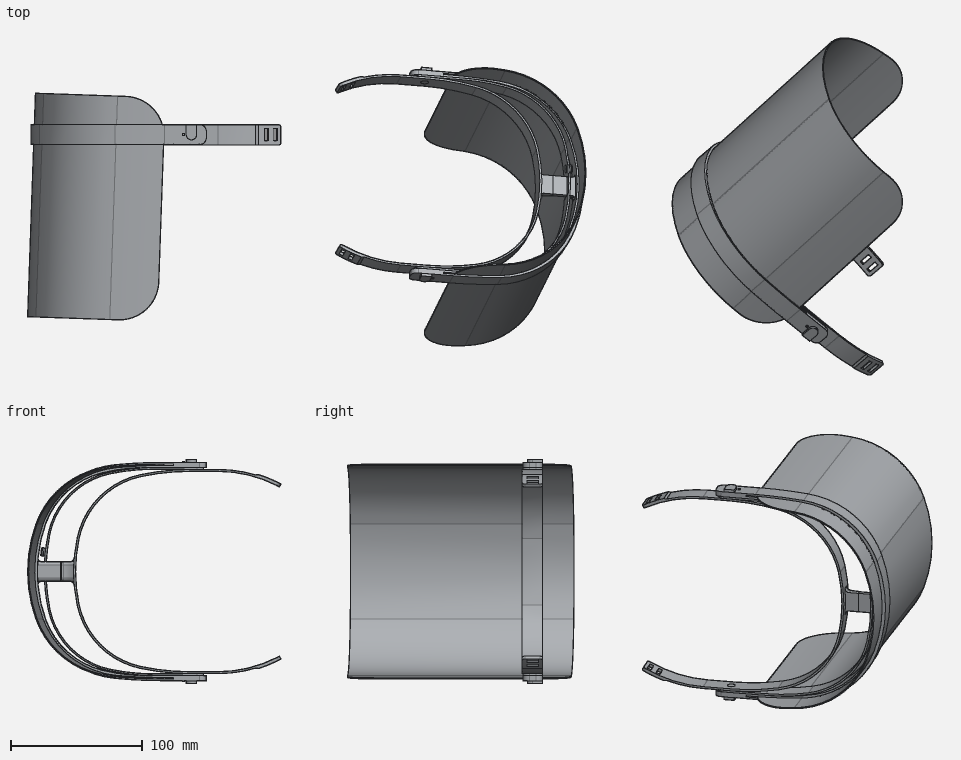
import cadquery as cq
import math

BAND_HEIGHT = 15.0
BAND_TOP = BAND_HEIGHT / 2

SHELL_ANGLES = (math.radians(20), math.radians(84.5))
FRAME_INNER_ANGLES = (math.radians(20), math.radians(76))
BAND_ANGLES = (math.radians(12), math.radians(78))

VISOR_TILT = 2.0
VISOR_HEIGHT = 170.0
VISOR_DEPTH = 98.8
VISOR_CORNER_RADIUS = 30.0
VISOR_THICKNESS = 0.9
VISOR_TOP_Y = 31.5
VISOR_BOW = (0, 81.6, 106.0, 66.5, SHELL_ANGLES)
VISOR_FRONT_X = VISOR_HEIGHT * math.sin(math.radians(VISOR_TILT))

FRAME_OUTER_BOW = (2.5, 83.0, 107.5, 68.0, SHELL_ANGLES)
FRAME_INNER_BOW = (7.5, 79.0, 106.6, 61.0, FRAME_INNER_ANGLES)
FRAME_END_X = 135.8
FRAME_END_RADIUS = 5.0
FRAME_SLOT_END_X = 112.0
FRAME_OUTER_Z = FRAME_OUTER_BOW[1]

MIDDLE_THICKNESS = 1.4
MIDDLE_BOW = (12.7, FRAME_INNER_BOW[1], 140.0, 60.2, BAND_ANGLES)
MIDDLE_END_X = 133.7

HEADBAND_THICKNESS = 1.6
HEADBAND_HEIGHT = 15.5
HEADBAND_BOW = (35.0, MIDDLE_BOW[1] - MIDDLE_THICKNESS, 123.0, 62.4, BAND_ANGLES)
HEADBAND_OUTER_Z = HEADBAND_BOW[1]
HEADBAND_INNER_Z = HEADBAND_OUTER_Z - HEADBAND_THICKNESS
HEADBAND_BOTTOM = BAND_TOP - HEADBAND_HEIGHT
HEADBAND_STRAIGHT_END_X = 144.7
REAR_CURVE_RADIUS = 100.0
STRAP_TAB_EXTRA = 0.9
STRAP_TAB_TIP_X = 192.52
STRAP_RAMP_START_X = 173.2
STRAP_RAMP_END_X = 175.4
STRAP_TAB_CORNER_RADIUS = 2.0
STRAP_SLOT_WIDTH = 3.0
STRAP_SLOT_HEIGHT = 9.0
STRAP_SLOT_XS = (181.6, 188.6)

PIN_X = 124.5
PIN_DIAMETER = 6.0
PIN_CAP_WIDTH = 8.0
PIN_CAP_TOP_Z = 170.37 / 2
NUB_X = 118.4
NUB_SIZE = 1.6
NUB_RISE = 0.7

BRACKET_WIDTH = 15.0
BRACKET_TOP = 2.0
BRACKET_BOTTOM = -4.0
BRACKET_FRONT_X = 6.6
BRACKET_SPLIT_X = 25.0
BRACKET_STEP_END_X = 25.8
BRACKET_STEP = 0.8
BRACKET_SWEEP_START_X = 27.5
BRACKET_SWEEP_END_Y = HEADBAND_BOTTOM + 0.2
BRACKET_REAR_X = 36.0
BRACKET_EDGE_RADIUS = 2.6
BRACKET_FLARE = 3.0
FLARE_OVERLAP = 0.8

STUD_Z = 14.7
STUD_DIAMETER = 6.0
STUD_COLLAR_DIAMETER = 6.5
STUD_COLLAR_LENGTH = 1.2
STUD_LENGTH = 3.2
STUD_COLLAR_OFFSET = 1.2


def inset(bow, distance):
    """Parallel bow lying the given distance inside another one."""
    front_x, half_width, front_radius, shoulder_radius, angles = bow
    radii = (front_radius - distance, shoulder_radius - distance)
    return (front_x + distance, half_width - distance, *radii, angles)


def bow_arcs(bow):
    """Arc (middle, end) points of the +Z half of a bow, from its front point to its straight side."""
    front_x, half_width, front_radius, shoulder_radius, angles = bow
    front_sine, shoulder_sine = (math.sin(angle) for angle in angles)
    side_radius = (
        half_width - (front_radius - shoulder_radius) * front_sine - shoulder_radius * shoulder_sine
    ) / (1 - shoulder_sine)
    radii = (front_radius, shoulder_radius, side_radius)
    x, z = front_x, 0
    arcs = []
    for radius, start, end in zip(radii, (0, *angles), (*angles, math.pi / 2)):
        center_x = x + radius * math.cos(start)
        center_z = z - radius * math.sin(start)
        middle = (start + end) / 2
        middle_point = (center_x - radius * math.cos(middle), center_z + radius * math.sin(middle))
        x = center_x - radius * math.cos(end)
        z = center_z + radius * math.sin(end)
        arcs.append((middle_point, (x, z)))
    return arcs


def draw_bow(sketch, bow, end_x, side):
    """Continue a sketch along a whole bow, from its straight end on one side (+1 or -1) to the other."""
    arcs = bow_arcs(bow)
    starts = [(bow[0], 0)] + [end for _, end in arcs[:-1]]
    sketch = sketch.lineTo(arcs[-1][1][0], side * bow[1])
    for (middle, _), start in reversed(list(zip(arcs, starts))):
        sketch = sketch.threePointArc((middle[0], side * middle[1]), (start[0], side * start[1]))
    for middle, end in arcs:
        sketch = sketch.threePointArc((middle[0], -side * middle[1]), (end[0], -side * end[1]))
    return sketch.lineTo(end_x, -side * bow[1])


def band(outer, inner, end_x, top, height):
    """Horseshoe band between two bows."""
    sketch = cq.Workplane("XZ", origin=(0, top, 0)).moveTo(end_x, outer[1])
    sketch = draw_bow(sketch, outer, end_x, 1)
    sketch = sketch.lineTo(end_x, -inner[1])
    sketch = draw_bow(sketch, inner, end_x, -1)
    return sketch.close().extrude(height)


def tilt_visor(shape):
    """Move a shape from the visor's own axes (front top edge at the origin) into place."""
    return shape.rotate((0, 0, 0), (0, 0, 1), -VISOR_TILT).translate((VISOR_FRONT_X, VISOR_TOP_Y, 0))


def visor_sheet(depth):
    """Bent sheet in the visor's own axes."""
    return band(VISOR_BOW, inset(VISOR_BOW, VISOR_THICKNESS), depth, 0, VISOR_HEIGHT)


def make_visor():
    side_outline = (
        cq.Workplane("XY")
        .rect(2 * VISOR_DEPTH, VISOR_HEIGHT)
        .extrude(2 * VISOR_BOW[1], both=True)
        .edges("|Z")
        .fillet(VISOR_CORNER_RADIUS)
        .translate((0, -VISOR_HEIGHT / 2, 0))
    )
    sheet = visor_sheet(VISOR_DEPTH + VISOR_CORNER_RADIUS)
    return tilt_visor(sheet.intersect(side_outline))


def across_arms(x, diameter):
    """Round rod parallel to Z running right across both arms."""
    return cq.Workplane("XY", origin=(x, 0, 0)).circle(diameter / 2).extrude(2 * FRAME_OUTER_Z, both=True)


def make_nubs():
    nub = (
        cq.Workplane("XY", origin=(NUB_X, 0, FRAME_OUTER_Z))
        .rect(NUB_SIZE, NUB_SIZE)
        .extrude(NUB_RISE)
    )
    return [nub, nub.mirror("XY")]


def bracket_flares(band_bow, direction):
    """Fillet prisms on both sides that widen the bracket towards a band, in the given X direction."""
    front_x, _, radius, _, _ = band_bow
    half = BRACKET_WIDTH / 2
    x = front_x + half**2 / (2 * radius)
    toe = x - direction * BRACKET_FLARE
    bend = BRACKET_FLARE * (1 - math.sqrt(0.5))
    flare = (
        cq.Workplane("XZ", origin=(0, BRACKET_TOP, 0))
        .moveTo(toe, half)
        .threePointArc((x - direction * bend, half + bend), (x, half + BRACKET_FLARE))
        .lineTo(x + direction * FLARE_OVERLAP, half + BRACKET_FLARE)
        .lineTo(x + direction * FLARE_OVERLAP, half)
        .close()
        .extrude(BRACKET_TOP - BRACKET_BOTTOM)
    )
    return flare.union(flare.mirror("XY"))


def round_lower_edges(block):
    """Round the two lower long edges of a bracket half."""
    for face_side in (">Z", "<Z"):
        lower = block.faces(face_side).edges("not(|Y or >Y)")
        block = lower.fillet(BRACKET_EDGE_RADIUS)
    return block


def make_front_bracket():
    block = (
        cq.Workplane("XY")
        .moveTo(BRACKET_FRONT_X, BRACKET_TOP)
        .lineTo(BRACKET_SPLIT_X, BRACKET_TOP)
        .lineTo(BRACKET_SPLIT_X, BRACKET_BOTTOM)
        .lineTo(BRACKET_FRONT_X, BRACKET_BOTTOM)
        .close()
        .extrude(BRACKET_WIDTH / 2, both=True)
    )
    return round_lower_edges(block).union(bracket_flares(FRAME_INNER_BOW, -1))


def make_rear_bracket():
    step_y = BRACKET_BOTTOM - BRACKET_STEP
    block = (
        cq.Workplane("XY")
        .moveTo(BRACKET_SPLIT_X, BRACKET_TOP)
        .lineTo(BRACKET_SPLIT_X, BRACKET_BOTTOM)
        .lineTo(BRACKET_STEP_END_X, step_y)
        .lineTo(BRACKET_SWEEP_START_X, step_y)
        .tangentArcPoint((BRACKET_REAR_X, BRACKET_SWEEP_END_Y), relative=False)
        .lineTo(BRACKET_REAR_X, BRACKET_TOP)
        .close()
        .extrude(BRACKET_WIDTH / 2, both=True)
    )
    return round_lower_edges(block).union(bracket_flares(HEADBAND_BOW, 1))


def make_frame():
    frame = band(FRAME_OUTER_BOW, FRAME_INNER_BOW, FRAME_END_X, BAND_TOP, BAND_HEIGHT)
    frame = frame.edges("|Z and >X").fillet(FRAME_END_RADIUS)
    frame = frame.union(make_front_bracket())
    slot_depth = FRAME_SLOT_END_X - VISOR_FRONT_X
    frame = frame.cut(tilt_visor(visor_sheet(slot_depth)))
    frame = frame.cut(across_arms(PIN_X, PIN_DIAMETER))
    for nub in make_nubs():
        frame = frame.union(nub)
    return frame


def stud_rod(diameter, start, end):
    """Rod square to the middle band, between two distances in front of its front face."""
    front_x, _, radius, _, _ = MIDDLE_BOW
    sine = STUD_Z / radius
    cosine = math.sqrt(1 - sine**2)
    face = cq.Vector(front_x + radius * (1 - cosine), 0, STUD_Z)
    outward = cq.Vector(-cosine, 0, sine)
    plane = cq.Plane(face + outward * start, xDir=(0, 1, 0), normal=outward)
    return cq.Workplane(plane).circle(diameter / 2).extrude(end - start)


def make_stud():
    stud = stud_rod(STUD_DIAMETER, -MIDDLE_THICKNESS, STUD_LENGTH)
    return stud.union(
        stud_rod(STUD_COLLAR_DIAMETER, STUD_COLLAR_OFFSET, STUD_COLLAR_OFFSET + STUD_COLLAR_LENGTH)
    )


def make_middle_band(stud):
    inner = inset(MIDDLE_BOW, MIDDLE_THICKNESS)
    middle = band(MIDDLE_BOW, inner, MIDDLE_END_X, BAND_TOP, BAND_HEIGHT)
    middle = middle.edges("|Z and >X").fillet(FRAME_END_RADIUS)
    middle = middle.cut(across_arms(PIN_X, PIN_DIAMETER))
    middle_x = MIDDLE_BOW[0]
    notch = (
        cq.Workplane("XZ", origin=(middle_x, BRACKET_TOP, 0))
        .rect(4 * MIDDLE_THICKNESS, BRACKET_WIDTH)
        .extrude(BRACKET_TOP + BAND_TOP)
    )
    return middle.cut(notch).cut(stud)


def rear_sector(start_radius, start_x, outer_radius, outer_start_x, tip_x):
    """Curved strap piece on the +Z arm; its outer face ramps from the start radius to the outer radius."""
    inner_radius = REAR_CURVE_RADIUS - HEADBAND_THICKNESS
    center = (HEADBAND_STRAIGHT_END_X, HEADBAND_OUTER_Z - REAR_CURVE_RADIUS)
    start = math.asin((start_x - center[0]) / start_radius)
    outer_start = math.asin((outer_start_x - center[0]) / outer_radius)
    tip = math.asin((tip_x - center[0]) / outer_radius)
    outer_middle = (outer_start + tip) / 2
    inner_middle = (start + tip) / 2

    def at(radius, angle):
        return (center[0] + radius * math.sin(angle), center[1] + radius * math.cos(angle))

    sketch = (
        cq.Workplane("XZ", origin=(0, BAND_TOP, 0))
        .moveTo(*at(inner_radius, start))
        .lineTo(*at(start_radius, start))
    )
    if outer_start > start:
        sketch = sketch.lineTo(*at(outer_radius, outer_start))
    return (
        sketch.threePointArc(at(outer_radius, outer_middle), at(outer_radius, tip))
        .lineTo(*at(inner_radius, tip))
        .threePointArc(at(inner_radius, inner_middle), at(inner_radius, start))
        .close()
        .extrude(HEADBAND_HEIGHT)
    )


def make_rear_strap():
    """Curved rear end of the +Z arm with its thickened, slotted tab."""
    curve_start_x = HEADBAND_STRAIGHT_END_X
    radius = REAR_CURVE_RADIUS
    tab_radius = radius + STRAP_TAB_EXTRA
    strap = rear_sector(radius, curve_start_x, radius, curve_start_x, STRAP_RAMP_START_X)
    tab = rear_sector(radius, STRAP_RAMP_START_X, tab_radius, STRAP_RAMP_END_X, STRAP_TAB_TIP_X)
    tip_edges = tab.faces(">X").edges("not |Y").edges(">Y or <Y")
    tab = tip_edges.fillet(STRAP_TAB_CORNER_RADIUS)
    strap = strap.union(tab)
    for slot_x in STRAP_SLOT_XS:
        angle = math.asin((slot_x - curve_start_x) / tab_radius)
        drop = tab_radius * (1 - math.cos(angle))
        slot = (
            cq.Workplane("XY")
            .box(STRAP_SLOT_WIDTH, STRAP_SLOT_HEIGHT, 4 * HEADBAND_THICKNESS)
            .rotate((0, 0, 0), (0, 1, 0), math.degrees(angle))
            .translate((slot_x, 0, HEADBAND_OUTER_Z + STRAP_TAB_EXTRA - drop))
        )
        strap = strap.cut(slot)
    return strap


def make_headband():
    inner = inset(HEADBAND_BOW, HEADBAND_THICKNESS)
    headband = band(HEADBAND_BOW, inner, HEADBAND_STRAIGHT_END_X, BAND_TOP, HEADBAND_HEIGHT)
    strap = make_rear_strap()
    headband = headband.union(strap).union(strap.mirror("XY")).union(make_rear_bracket())
    return headband.cut(across_arms(PIN_X, PIN_DIAMETER))


def make_pin():
    """Hinge pin of the +Z arm: round shank under a cap that is rounded at its lower end."""
    shank = (
        cq.Workplane("XY", origin=(PIN_X, 0, HEADBAND_INNER_Z))
        .circle(PIN_DIAMETER / 2)
        .extrude(FRAME_OUTER_Z - HEADBAND_INNER_Z)
    )
    half = PIN_CAP_WIDTH / 2
    cap = (
        cq.Workplane("XY", origin=(PIN_X, 0, FRAME_OUTER_Z))
        .moveTo(-half, BAND_TOP)
        .lineTo(-half, 0)
        .threePointArc((0, -half), (half, 0))
        .lineTo(half, BAND_TOP)
        .close()
        .extrude(PIN_CAP_TOP_Z - FRAME_OUTER_Z)
    )
    return shank.union(cap)


visor = make_visor()
frame = make_frame()
stud = make_stud()
headband = make_headband()
middle_band = make_middle_band(stud)
upper_pin = make_pin()
pins = [upper_pin, upper_pin.mirror("XY")]

result = cq.Compound.makeCompound(
    [visor.val(), frame.val(), middle_band.val(), headband.val(), stud.val(), *(pin.val() for pin in pins)]
)